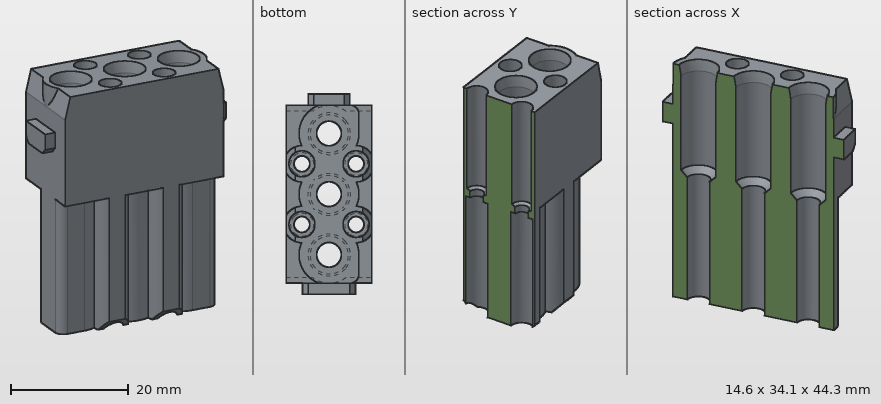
import cadquery as cq

total_height = 44.3
body_width = 14.6
body_length = 30.3
tab_reach = 1.9
head_height = 19.9
leg_height = total_height - head_height

hole_pitch = 10.3
main_hole_places = [(0, row * hole_pitch) for row in (-1, 0, 1)]
small_hole_x = 4.6
small_hole_y = hole_pitch / 2
small_hole_places = [(x, y) for x in (-small_hole_x, small_hole_x) for y in (-small_hole_y, small_hole_y)]

mouth_radius = 3.6
main_bore_radius = 3.25
mouth_depth = 2.0
main_neck_radius = 2.1
main_cone_height = 1.15

small_bore_radius = 1.95
small_neck_radius = 1.35
small_cone_height = 0.4
small_neck_length = 1.35
small_socket_radius = 2.2

main_column_radius = 5.1
small_column_radius = 3.1
core_half_width = 3.55
corner_rounding = 1.55
foot_chamfer_width = 1.55
foot_chamfer_height = 1.75

slope_inset = 0.97
slope_height = 4.05
slope_boss_radius = 4.8

front_tab_width = 7.1
rear_tab_width = 9.05
tab_height = 3.8
tab_drop = 7.65
tab_chamfer = 0.97


def block(width, length, height, bottom):
    """Box centred on the Z axis, standing on the given level."""
    return cq.Workplane("XY").workplane(offset=bottom).rect(width, length).extrude(height)


def cylinders(places, radius, height, bottom):
    return cq.Workplane("XY").workplane(offset=bottom).pushPoints(places).circle(radius).extrude(height)


def make_head():
    """Block with sloped ends; round bosses around the end holes stay upright."""
    half_length = body_length / 2
    sloped = (
        cq.Workplane("YZ")
        .moveTo(-half_length, leg_height)
        .lineTo(half_length, leg_height)
        .lineTo(half_length, total_height - slope_height)
        .lineTo(half_length - slope_inset, total_height)
        .lineTo(-half_length + slope_inset, total_height)
        .lineTo(-half_length, total_height - slope_height)
        .close()
        .extrude(body_width / 2, both=True)
    )
    return sloped.union(cylinders(main_hole_places, slope_boss_radius, head_height, leg_height))


def make_square_side():
    """Squared +X side of the two end columns, with rounded vertical corners."""
    end_length = body_length / 2 - hole_pitch
    side = cq.Workplane("XY")
    for end in (-1, 1):
        corner = (
            cq.Workplane("XY")
            .center(main_column_radius / 2, end * (hole_pitch + end_length / 2))
            .rect(main_column_radius, end_length)
            .extrude(leg_height)
            .edges("|Z and >X and " + (">Y" if end > 0 else "<Y"))
            .fillet(corner_rounding)
        )
        side = side.add(corner)
    return side.combine()


def make_leg():
    """Cluster of columns around the holes, trimmed to the body and chamfered at the foot."""
    columns = (
        block(2 * core_half_width, 2 * hole_pitch, leg_height, 0)
        .union(cylinders(main_hole_places, main_column_radius, leg_height, 0))
        .union(cylinders(small_hole_places, small_column_radius, leg_height, 0))
        .union(make_square_side())
    )
    half_width = body_width / 2
    envelope = (
        cq.Workplane("XZ")
        .moveTo(-half_width + foot_chamfer_width, 0)
        .lineTo(half_width - foot_chamfer_width, 0)
        .lineTo(half_width, foot_chamfer_height)
        .lineTo(half_width, leg_height)
        .lineTo(-half_width, leg_height)
        .lineTo(-half_width, foot_chamfer_height)
        .close()
        .extrude(body_length / 2, both=True)
    )
    return columns.intersect(envelope)


def make_tab(width, end):
    """Tab on the -Y (end = -1) or +Y (end = 1) face, with its lower corners chamfered."""
    return (
        block(width, tab_reach, tab_height, total_height - tab_drop - tab_height)
        .edges("|Y and <Z")
        .chamfer(tab_chamfer)
        .translate((0, end * (body_length + tab_reach) / 2, 0))
    )


def make_main_hole():
    profile = (
        cq.Workplane("XZ")
        .lineTo(main_neck_radius, 0)
        .lineTo(main_neck_radius, leg_height - main_cone_height)
        .lineTo(main_bore_radius, leg_height)
        .lineTo(main_bore_radius, total_height - mouth_depth)
        .lineTo(mouth_radius, total_height)
        .lineTo(0, total_height)
        .close()
    )
    return profile.revolve(360, (0, 0), (0, 1))


def make_small_hole():
    neck_top = leg_height - small_cone_height
    socket_top = neck_top - small_neck_length
    profile = (
        cq.Workplane("XZ")
        .lineTo(small_socket_radius, 0)
        .lineTo(small_socket_radius, socket_top)
        .lineTo(small_neck_radius, socket_top)
        .lineTo(small_neck_radius, neck_top)
        .lineTo(small_bore_radius, leg_height)
        .lineTo(small_bore_radius, total_height)
        .lineTo(0, total_height)
        .close()
    )
    return profile.revolve(360, (0, 0), (0, 1))


result = make_head().union(make_leg())
result = result.union(make_tab(front_tab_width, -1)).union(make_tab(rear_tab_width, 1))
for x, y in main_hole_places:
    result = result.cut(make_main_hole().translate((x, y, 0)))
for x, y in small_hole_places:
    result = result.cut(make_small_hole().translate((x, y, 0)))